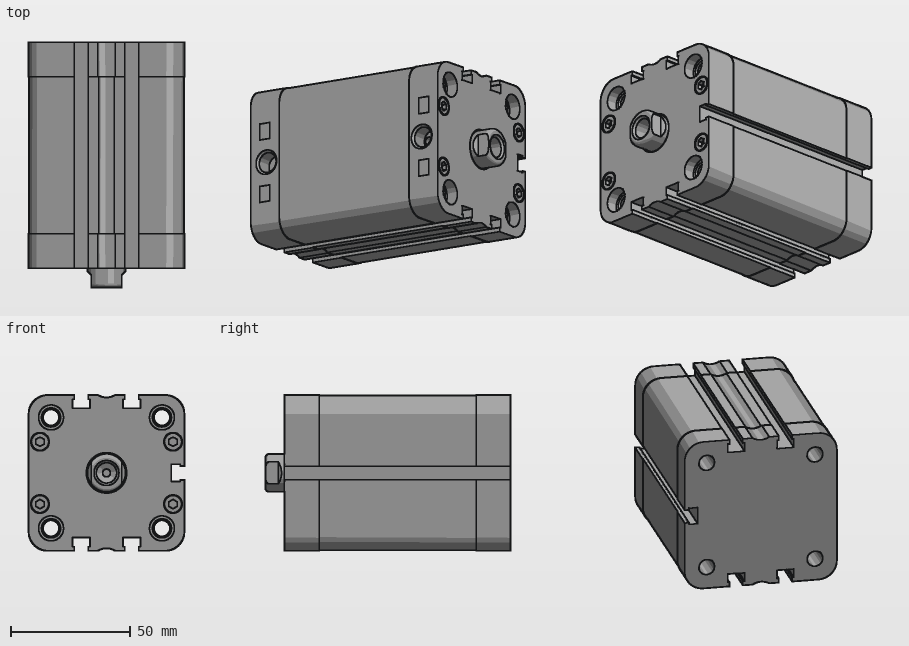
import cadquery as cq
import math


HOUSING_WIDTH = 65.5
OVERALL_LENGTH = 103.0
ROD_PROTRUSION = 8.0
HOUSING_LENGTH = OVERALL_LENGTH - ROD_PROTRUSION
HALF_WIDTH = HOUSING_WIDTH / 2
CORNER_RADIUS = 8.0
CAP_LENGTH = 14.5
BARREL_SETBACK = 0.2

SLOT_OFFSET = 10.6
SLOT_MOUTH_WIDTH = 5.8
SLOT_INNER_WIDTH = 7.2
SLOT_LIP = 1.9
SLOT_DEPTH = 5.6
CAP_GROOVE_WIDTH = 7.2
BARREL_GROOVE_WIDTH = 6.6
GROOVE_DEPTH = 1.0

MOUNT_OFFSET = 23.3
MOUNT_HOLE_DIAMETER = 6.7
MOUNT_BEVEL_DIAMETER = 8.0
MOUNT_BORE_DIAMETER = 10.5
MOUNT_BORE_DEPTH = 5.2

SCREW_X = 27.9
SCREW_Z = 13.1
SCREW_HEAD_DIAMETER = 7.2
SCREW_RECESS_DIAMETER = 7.7
SCREW_RING_DEPTH = 0.5
SOCKET_FLATS = 3.4
SOCKET_DEPTH = 2.1

PORT_INSET = 8.0
PORT_DIAMETER = 8.5
PORT_BEVEL_DIAMETER = 10.5
PORT_DEPTH = 8.2
AIR_HOLE_DIAMETER = 3.5
AIR_HOLE_SHIFT = 2.0
AIR_HOLE_DEPTH = 4.1

LABEL_LENGTH = 5.0
LABEL_HEIGHT = 6.9
LABEL_OFFSET = 13.5
LABEL_INSET = 7.1
LABEL_DEPTH = 0.2

ROD_DIAMETER = 16.0
ROD_SEAT_DEPTH = HOUSING_LENGTH - CAP_LENGTH
ROD_TIP_ROUND = 1.6
ROD_BORE_BEVEL_DIAMETER = 17.0
FLAT_WIDTH = 13.0
FLAT_LENGTH = 5.4
THREAD_DIAMETER = 8.5
THREAD_MOUTH_DIAMETER = 10.5
THREAD_DEPTH = 15.5
THREAD_END_DIAMETER = 3.3
THREAD_END_SLOPE = math.radians(30)


def turned(points):
    """Solid of revolution about the Y axis from (radius, y) points."""
    return cq.Workplane("XY").polyline(points).close().revolve(360, (0, 0, 0), (0, 1, 0))


def turn_about_rod(shape, angle):
    return shape.rotate((0, 0, 0), (0, 1, 0), angle)


def top_slot(x, length):
    """T-slot cutter opening to the top face, centred at x."""
    mouth = cq.Workplane("XZ").center(x, HALF_WIDTH - SLOT_DEPTH / 2).rect(SLOT_MOUTH_WIDTH, SLOT_DEPTH)
    inner_height = SLOT_DEPTH - SLOT_LIP
    inner_z = HALF_WIDTH - SLOT_DEPTH + inner_height / 2
    inner = cq.Workplane("XZ").center(x, inner_z).rect(SLOT_INNER_WIDTH, inner_height)
    return mouth.extrude(-length).union(inner.extrude(-length))


def top_groove(width, surface_z, length):
    """Shallow round groove cutter in the middle of the top face."""
    outline = (
        cq.Workplane("XZ")
        .moveTo(-width / 2, surface_z)
        .threePointArc((0, surface_z - GROOVE_DEPTH), (width / 2, surface_z))
        .close()
    )
    return outline.extrude(-length)


def profile_section(setback, groove_width, length):
    """Slotted and grooved square section, its sides set back from the housing width."""
    width = HOUSING_WIDTH - 2 * setback
    section = cq.Workplane("XZ").rect(width, width).extrude(-length)
    section = section.edges("|Y").fillet(CORNER_RADIUS - setback)
    groove = top_groove(groove_width, width / 2, length)
    for facing in (0, 180):
        section = section.cut(turn_about_rod(groove, facing))
        for x in (-SLOT_OFFSET, SLOT_OFFSET):
            section = section.cut(turn_about_rod(top_slot(x, length), facing))
    return section.cut(turn_about_rod(top_slot(0, length), 90))


def housing_block():
    """Two end caps with the slightly slimmer barrel between them."""
    barrel_length = HOUSING_LENGTH - 2 * CAP_LENGTH
    front_cap = profile_section(0, CAP_GROOVE_WIDTH, CAP_LENGTH)
    barrel = profile_section(BARREL_SETBACK, BARREL_GROOVE_WIDTH, barrel_length)
    rear_cap = front_cap.translate((0, CAP_LENGTH + barrel_length, 0))
    return front_cap.union(barrel.translate((0, CAP_LENGTH, 0))).union(rear_cap)


def mount_hole():
    """Through hole with a counterbore and a bevel on the counterbore floor."""
    hole = MOUNT_HOLE_DIAMETER / 2
    bevel = MOUNT_BEVEL_DIAMETER / 2
    bore = MOUNT_BORE_DIAMETER / 2
    return turned([
        (0, 0),
        (bore, 0),
        (bore, MOUNT_BORE_DEPTH),
        (bevel, MOUNT_BORE_DEPTH),
        (hole, MOUNT_BORE_DEPTH + bevel - hole),
        (hole, HOUSING_LENGTH),
        (0, HOUSING_LENGTH),
    ])


def cap_screw_recess():
    """Ring around a flush screw head and the hexagon socket in the head."""
    ring = (
        cq.Workplane("XZ")
        .circle(SCREW_RECESS_DIAMETER / 2)
        .circle(SCREW_HEAD_DIAMETER / 2)
        .extrude(-SCREW_RING_DEPTH)
    )
    across_corners = SOCKET_FLATS / math.cos(math.pi / 6)
    socket = cq.Workplane("XZ").polygon(6, across_corners).extrude(-SOCKET_DEPTH)
    upright_socket = turn_about_rod(socket, 30)
    return ring.union(upright_socket)


def port(y, toward_middle):
    """Bevelled blind port with an off-centre air hole in its floor."""
    bevel = (PORT_BEVEL_DIAMETER - PORT_DIAMETER) / 2
    side = cq.Workplane("YZ", origin=(-HALF_WIDTH, y, 0))
    bore = side.circle(PORT_DIAMETER / 2).extrude(PORT_DEPTH)
    mouth = cq.Workplane(cq.Solid.makeCone(
        PORT_BEVEL_DIAMETER / 2, PORT_DIAMETER / 2, bevel,
        cq.Vector(-HALF_WIDTH, y, 0), cq.Vector(1, 0, 0),
    ))
    air_hole = (
        side.center(toward_middle * AIR_HOLE_SHIFT, 0)
        .circle(AIR_HOLE_DIAMETER / 2)
        .extrude(PORT_DEPTH + AIR_HOLE_DEPTH)
    )
    return bore.union(mouth).union(air_hole)


def label_recesses(y):
    return (
        cq.Workplane("YZ", origin=(-HALF_WIDTH, y, 0))
        .pushPoints([(0, -LABEL_OFFSET), (0, LABEL_OFFSET)])
        .rect(LABEL_LENGTH, LABEL_HEIGHT)
        .extrude(LABEL_DEPTH)
    )


def rod_bore():
    """Blind bore that the rod fills, bevelled at the front face."""
    rod = ROD_DIAMETER / 2
    mouth = ROD_BORE_BEVEL_DIAMETER / 2
    return turned([
        (0, 0),
        (mouth, 0),
        (rod, mouth - rod),
        (rod, ROD_SEAT_DEPTH),
        (0, ROD_SEAT_DEPTH),
    ])


def make_housing():
    body = housing_block()
    for x_side in (-1, 1):
        for z_side in (-1, 1):
            body = body.cut(mount_hole().translate((x_side * MOUNT_OFFSET, 0, z_side * MOUNT_OFFSET)))
            body = body.cut(cap_screw_recess().translate((x_side * SCREW_X, 0, z_side * SCREW_Z)))
    body = body.cut(port(PORT_INSET, 1)).cut(port(HOUSING_LENGTH - PORT_INSET, -1))
    for y in (LABEL_INSET, HOUSING_LENGTH - LABEL_INSET):
        body = body.cut(label_recesses(y))
    return body.cut(rod_bore())


def wrench_flat():
    """Cutter for the +X wrench flat, ending in a 45 degree slope."""
    flat = FLAT_WIDTH / 2
    outside = ROD_DIAMETER
    flat_end = FLAT_LENGTH - ROD_PROTRUSION
    outline = cq.Workplane("XY").polyline([
        (flat, -ROD_PROTRUSION),
        (outside, -ROD_PROTRUSION),
        (outside, flat_end + outside - flat),
        (flat, flat_end),
    ])
    return outline.close().extrude(ROD_DIAMETER / 2, both=True)


def threaded_hole():
    """Bevelled blind hole in the rod tip with a conical end."""
    mouth = THREAD_MOUTH_DIAMETER / 2
    bore = THREAD_DIAMETER / 2
    end = THREAD_END_DIAMETER / 2
    cone_length = (bore - end) * math.tan(THREAD_END_SLOPE)
    return turned([
        (0, 0),
        (mouth, 0),
        (bore, mouth - bore),
        (bore, THREAD_DEPTH),
        (end, THREAD_DEPTH + cone_length),
        (0, THREAD_DEPTH + cone_length),
    ]).translate((0, -ROD_PROTRUSION, 0))


def make_rod():
    rod = (
        cq.Workplane("XZ", origin=(0, -ROD_PROTRUSION, 0))
        .circle(ROD_DIAMETER / 2)
        .extrude(-(ROD_PROTRUSION + ROD_SEAT_DEPTH))
        .faces("<Y").edges().fillet(ROD_TIP_ROUND)
    )
    for facing in (0, 180):
        rod = rod.cut(turn_about_rod(wrench_flat(), facing))
    return rod.cut(threaded_hole())


housing = make_housing()
rod = make_rod()
result = cq.Compound.makeCompound([housing.val(), rod.val()])